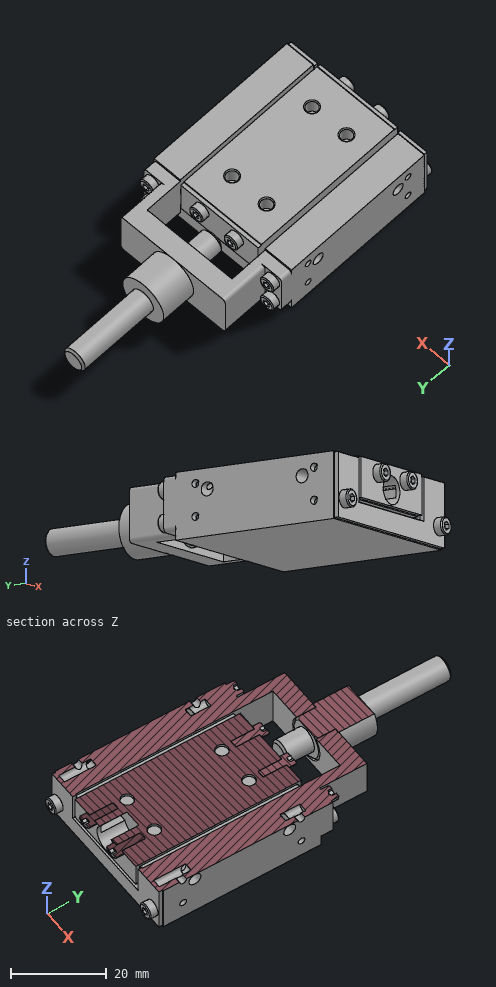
import cadquery as cq
import math


overall_length = 88.0
stage_width = 40.0
stage_length = 40.0
stage_height = 15.0
plate_thickness = 1.0
plate_inset = 0.3

head_diameter = 3.9
head_height = 2.0
head_chamfer = 0.3
shank_diameter = 2.0
shank_length = 6.0
socket_corners = 1.8
socket_depth = 1.0
drill_half_angle = 60.0

base_height = 14.5
groove_width = 24.6
groove_floor = 5.0
base_screw_x = 17.5
base_screw_low = 4.5
base_screw_high = 11.5
base_screw_hole_depth = 8.0
relief_hole_diameter = 1.7
relief_hole_spacing = 30.0
side_hole_diameter = 3.0
mount_spacing_y = 24.0
side_hole_depth = 4.5
side_hole_z = 10.0

slide_width = 22.5
slide_bottom = 5.6
slide_screw_x = 5.0
slide_screw_z = 12.1
top_hole_diameter = 3.0
top_hole_chamfer = 0.3
top_hole_depth = 4.0
bore_diameter = 6.2
bore_z = 9.3
bore_depth = 6.0
bore_slot_width = 11.4
bore_slot_bottom = 8.3
bore_slot_top = 10.9

rib_height = 1.9

flange_thickness = 3.0
bracket_length = 15.0
bracket_arm_width = 30.45
bracket_bottom = 2.0
bracket_height = 12.0
bracket_bar_thickness = 5.0
bracket_fillet = 1.0

spindle_diameter = 6.0
spindle_chamfer = 0.5
collar_diameter = 12.0
collar_length = 9.0
spigot_diameter = 10.0
spigot_chamfer = 0.5

stage_middle = stage_length / 2
relief_hole_depth = stage_width / 2 - base_screw_x
plate_front = -plate_thickness
rear_plate_back = stage_length + plate_thickness
front_tip = plate_front - head_height
spindle_end = front_tip + overall_length
flange_back = stage_length + flange_thickness
bracket_back = stage_length + bracket_length
bar_front = bracket_back - bracket_bar_thickness
spindle_z = bracket_bottom + bracket_height / 2
mount_y = [stage_middle - mount_spacing_y / 2, stage_middle + mount_spacing_y / 2]
relief_y = [stage_middle - relief_hole_spacing / 2, stage_middle + relief_hole_spacing / 2]


def block(x_size, y_start, y_end, z_start, z_end):
    """Box centred on X = 0 between the given Y and Z limits."""
    box = cq.Workplane("XY").box(x_size, y_end - y_start, z_end - z_start, centered=(True, False, False))
    return box.translate((0, y_start, z_start))


def rod_y(diameter, x, z, y_start, y_end):
    """Round bar along Y."""
    start = cq.Vector(x, y_start, z)
    return cq.Workplane(cq.Solid.makeCylinder(diameter / 2, y_end - y_start, start, cq.Vector(0, 1, 0)))


def make_screw(x, seat_y, z, outward):
    """Socket head screw whose head sits on the plane Y = seat_y and points along outward (-1 or +1)."""
    head = cq.Workplane("XY").circle(head_diameter / 2).extrude(head_height).faces(">Z").chamfer(head_chamfer)
    shank = cq.Workplane("XY").circle(shank_diameter / 2).extrude(-shank_length)
    socket_bottom = head_height - socket_depth
    socket = cq.Workplane("XY", origin=(0, 0, socket_bottom)).polygon(6, socket_corners).extrude(socket_depth)
    tip_radius = socket_corners / 2 * math.cos(math.pi / 6)
    tip_depth = tip_radius / math.tan(math.radians(drill_half_angle))
    tip_start = cq.Vector(0, 0, socket_bottom)
    tip = cq.Workplane(cq.Solid.makeCone(tip_radius, 0, tip_depth, tip_start, cq.Vector(0, 0, -1)))
    screw = head.union(shank).cut(socket).cut(tip)
    corner_up = screw.rotate((0, 0, 0), (0, 0, 1), 90)
    return corner_up.rotate((0, 0, 0), (1, 0, 0), -90 * outward).translate((x, seat_y, z))


def hole_from_side(side, diameter, y, z, depth, v_bottom=False):
    """Bore along X from the outer side of the base, closed by a flat end or a 45 degree V along Y."""
    inward = cq.Vector(-side, 0, 0)
    start = cq.Vector(side * stage_width / 2, y, z)
    hole = cq.Workplane(cq.Solid.makeCylinder(diameter / 2, depth, start, inward))
    if v_bottom:
        radius = diameter / 2
        tip_start = side * (stage_width / 2 - depth)
        wedge = (
            cq.Workplane("XZ", origin=(tip_start, y + radius, z))
            .polyline([(0, -radius), (-side * radius, 0), (0, radius)])
            .close()
            .extrude(diameter)
        )
        tip = cq.Workplane(cq.Solid.makeCylinder(radius, depth + radius, start, inward)).intersect(wedge)
        hole = hole.union(tip)
    return hole


def make_bracket():
    """U bracket with flanges against the back of the base and a crossbar bored for the bushing."""
    top = bracket_bottom + bracket_height
    arms = block(bracket_arm_width, stage_length, bracket_back, bracket_bottom, top)
    flanges = block(stage_width, stage_length, flange_back, bracket_bottom, top)
    arms = arms.edges("|Y").fillet(bracket_fillet)
    flanges = flanges.edges("|Y").fillet(bracket_fillet)
    bracket = arms.union(flanges)
    bracket = bracket.cut(block(groove_width, stage_length, bar_front, bracket_bottom, top))
    return bracket.cut(rod_y(spigot_diameter, 0, spindle_z, bar_front, bracket_back))


def make_base():
    """Grooved base in one piece with its front end plate, its rear bracket and the bracket bolts."""
    base = block(stage_width, 0, stage_length, 0, base_height)
    base = base.cut(block(groove_width, 0, stage_length, groove_floor, stage_height))

    plate = block(stage_width - 2 * plate_inset, plate_front, 0, plate_inset, base_height - plate_inset)
    plate_groove_width = groove_width - 2 * plate_inset
    plate_groove_floor = groove_floor - plate_inset
    plate = plate.cut(block(plate_groove_width, plate_front, 0, plate_groove_floor, stage_height))

    for x in (-base_screw_x, base_screw_x):
        for z in (base_screw_low, base_screw_high):
            base = base.cut(rod_y(shank_diameter, x, z, 0, base_screw_hole_depth))
            base = base.cut(rod_y(shank_diameter, x, z, stage_length - base_screw_hole_depth, stage_length))
        plate = plate.cut(rod_y(shank_diameter, x, base_screw_low, plate_front, 0))

    for side in (-1, 1):
        for y in relief_y:
            for z in (base_screw_low, base_screw_high):
                base = base.cut(hole_from_side(side, relief_hole_diameter, y, z, relief_hole_depth))
        for y in mount_y:
            side_hole = hole_from_side(
                side, side_hole_diameter, y, side_hole_z, side_hole_depth, v_bottom=True)
            base = base.cut(side_hole)

    base = base.union(plate).union(make_bracket())
    for x in (-base_screw_x, base_screw_x):
        for z in (base_screw_low, base_screw_high):
            base = base.union(make_screw(x, flange_back, z, 1))
    return base


def make_slide():
    """Slide with guide ribs, top holes and a front bore, in one piece with its end plates."""
    slide = block(slide_width, 0, stage_length, slide_bottom, stage_height)
    rib_bottom = side_hole_z - rib_height / 2
    slide = slide.union(block(groove_width, 0, stage_length, rib_bottom, rib_bottom + rib_height))

    slide = (
        slide.faces(">Z").workplane(origin=(0, 0, stage_height))
        .pushPoints([(x, y) for x in (-slide_screw_x, slide_screw_x) for y in mount_y])
        .cskHole(top_hole_diameter, top_hole_diameter + 2 * top_hole_chamfer, 90, depth=top_hole_depth)
    )
    slide = slide.cut(rod_y(bore_diameter, 0, bore_z, 0, bore_depth))
    slide = slide.cut(block(bore_slot_width, 0, bore_depth, bore_slot_bottom, bore_slot_top))

    plate_bottom = slide_bottom + plate_inset
    plate_top = stage_height - plate_inset
    front_plate = block(slide_width, plate_front, 0, plate_bottom, plate_top)
    front_plate = front_plate.cut(rod_y(bore_diameter, 0, bore_z, plate_front, 0))
    rear_plate = block(slide_width, stage_length, rear_plate_back, plate_bottom, plate_top)
    slide = slide.union(front_plate).union(rear_plate)

    for x in (-slide_screw_x, slide_screw_x):
        for hole_start in (plate_front, rear_plate_back - shank_length):
            hole_end = hole_start + shank_length
            slide = slide.cut(rod_y(shank_diameter, x, slide_screw_z, hole_start, hole_end))
    return slide


def make_spindle():
    """Round spindle with chamfered ends."""
    spindle = rod_y(spindle_diameter, 0, spindle_z, flange_back, spindle_end)
    return spindle.faces("<Y or >Y").chamfer(spindle_chamfer)


def make_bushing():
    """Bushing with a collar behind the bracket and a chamfered spigot that fills the bracket hole."""
    collar = rod_y(collar_diameter, 0, spindle_z, bracket_back, bracket_back + collar_length)
    spigot = rod_y(spigot_diameter, 0, spindle_z, bar_front, bracket_back)
    spigot = spigot.faces("<Y").chamfer(spigot_chamfer)
    bushing = collar.union(spigot)
    return bushing.cut(rod_y(spindle_diameter, 0, spindle_z, bar_front, bracket_back + collar_length))


base = make_base()
slide = make_slide()
spindle = make_spindle()
bushing = make_bushing()

plate_screws = []
for side in (-1, 1):
    plate_screws.append(make_screw(side * base_screw_x, plate_front, base_screw_low, -1))
    plate_screws.append(make_screw(side * slide_screw_x, plate_front, slide_screw_z, -1))
    plate_screws.append(make_screw(side * slide_screw_x, rear_plate_back, slide_screw_z, 1))

result = cq.Compound.makeCompound([
    base.val(),
    slide.val(),
    spindle.val(),
    bushing.val(),
    *[screw.val() for screw in plate_screws],
])